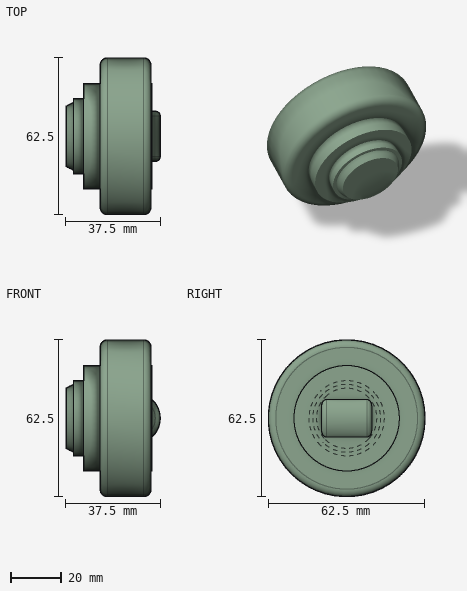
import cadquery as cq

overall_length = 37.5
cone_end = 2.9
shank_end = 7.0
wheel_start = 13.5
wheel_end = 33.8
hub_end = 34.1

tip_radius = 12.0
cone_radius = 13.5
shank_radius = 15.0
hub_radius = 21.0
wheel_radius = 31.25
wheel_fillet = 3.0

roller_radius = 10.0
roller_width = 20.0
roller_fillet = 2.0


def cylinder_along_x(start, end, radius):
    return cq.Workplane("YZ").workplane(offset=start).circle(radius).extrude(end - start)


def tapered_tip():
    """Truncated cone widening from the end face towards the shank."""
    profile = [(0, 0), (0, tip_radius), (cone_end, cone_radius), (cone_end, 0)]
    return cq.Workplane("XY").polyline(profile).close().revolve(360, (0, 0, 0), (1, 0, 0))


def side_roller():
    """Rounded cylinder whose crest reaches the overall length."""
    return (
        cq.Workplane("XZ")
        .center(overall_length - roller_radius, 0)
        .circle(roller_radius)
        .extrude(roller_width / 2, both=True)
        .edges("%CIRCLE")
        .fillet(roller_fillet)
    )


shank = cylinder_along_x(cone_end, shank_end, shank_radius)
hub = cylinder_along_x(shank_end, hub_end, hub_radius)
wheel = cylinder_along_x(wheel_start, wheel_end, wheel_radius).edges("%CIRCLE").fillet(wheel_fillet)

result = tapered_tip().union(shank).union(hub).union(wheel).union(side_roller())